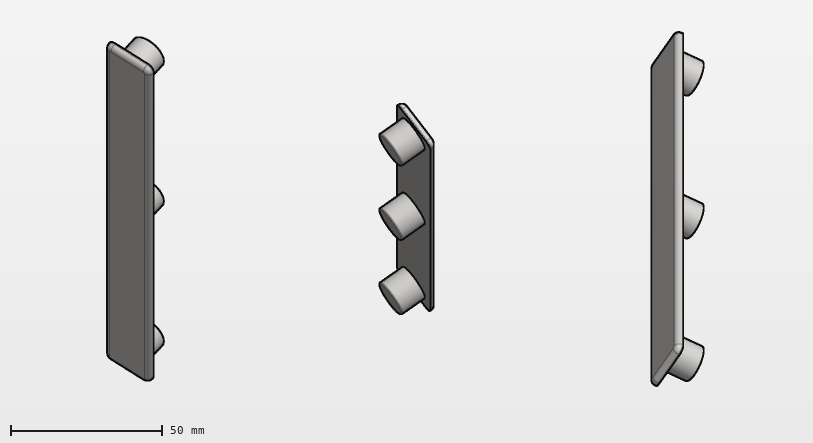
import cadquery as cq

plate_width = 18.5
plate_length = 180
plate_thickness = 2.5
corner_radius = 2.5
front_fillet = 2.0

total_depth = 12.0
post_diameter = 12.8
post_spacing = 80.5
post_tip_fillet = 0.4
post_length = total_depth - plate_thickness


def make_plate():
    """Plate with its back face on Y = 0 and a rounded front rim."""
    plate = cq.Workplane("XY").box(plate_width, plate_thickness, plate_length)
    plate = plate.translate((0, -plate_thickness / 2, 0))
    plate = plate.edges("|Y").fillet(corner_radius)
    return plate.faces("<Y").edges().fillet(front_fillet)


def make_post(height):
    """Post centred at the given Z, standing toward +Y from the plate back."""
    post = cq.Workplane("XZ").circle(post_diameter / 2).extrude(-post_length)
    post = post.faces(">Y").edges().fillet(post_tip_fillet)
    return post.translate((0, 0, height))


result = make_plate()
for height in (-post_spacing, 0, post_spacing):
    result = result.union(make_post(height))